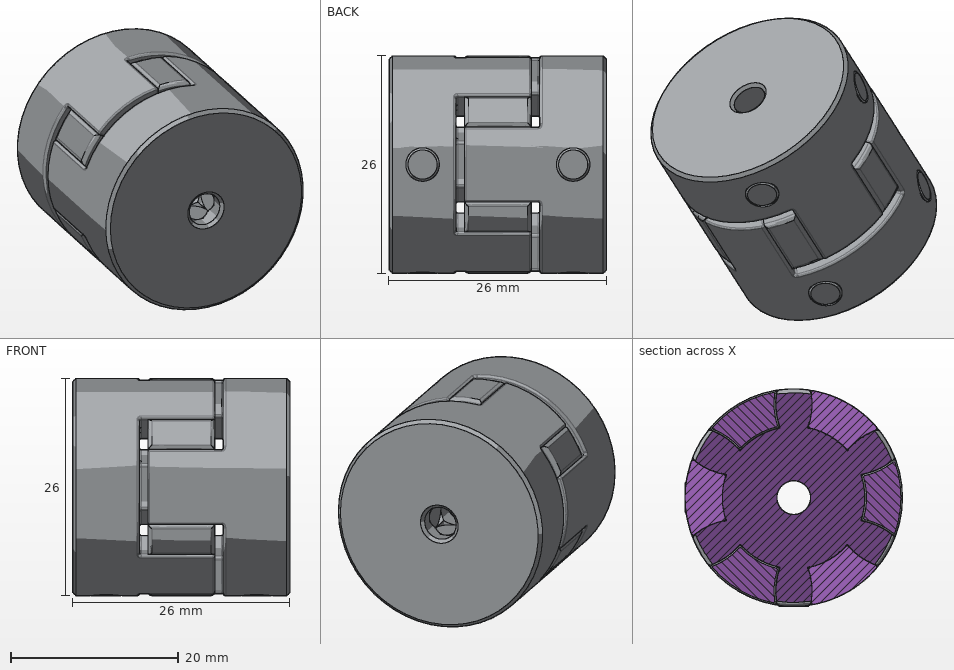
import cadquery as cq
import math


diameter = 26.0
length = 26.0
outer_radius = diameter / 2
half_length = length / 2

hub_length = 8.0
bore_diameter = 4.0
rim_chamfer = 0.42
bore_chamfer = 0.4
jaw_count = 3
jaw_pitch = 360 / jaw_count
jaw_inner_radius = 8.5
jaw_inner_fillet = 0.35
jaw_tip_fillet = 0.2
jaw_root_fillet = 0.2
hub_edge_fillet = 0.3
floor_offset = half_length - hub_length

spider_width = 8.0
spider_half_width = spider_width / 2
leg_count = 2 * jaw_count
leg_pitch = 360 / leg_count
leg_outer_radius = outer_radius
leg_half_width = 2.15
leg_crown_radius = 11.2
leg_flank_radius = 8.32
leg_fillet = 0.5

screw_diameter = 4.0
screw_chamfer = 0.25
screw_radius = screw_diameter / 2
screw_offset = half_length - hub_length / 2
screw_inner_radius = bore_diameter / 2
screw_directions = [(0, 1, 0), (0, 0, -1)]

tolerance = 0.03
overrun = 0.52

MIDDLE = cq.Plane(origin=(0, 0, 0), xDir=(0, 1, 0), normal=(1, 0, 0))


def leg_flank_point(radius):
    """Along and across a leg's axis, the flank point at this distance from the coupling axis."""
    centre_across = leg_half_width - leg_flank_radius
    centre_distance = math.hypot(leg_crown_radius, centre_across)
    centre_angle = math.atan2(centre_across, leg_crown_radius)
    cosine = (radius**2 + centre_distance**2 - leg_flank_radius**2) / (2 * radius * centre_distance)
    angle = centre_angle + math.acos(cosine)
    return radius * math.cos(angle), radius * math.sin(angle)


def mirrored(point):
    return point[0], -point[1]


def jaw_flank_point(leg_point):
    """A flank point of the next leg, seen along and across the neighbouring jaw's axis."""
    angle = math.radians(leg_pitch / 2)
    along, across = leg_point
    return (
        along * math.cos(angle) + across * math.sin(angle),
        along * math.sin(angle) - across * math.cos(angle),
    )


def around_axis(body, count):
    """Copies of a body, evenly turned about the X axis."""
    return [body.rotate((0, 0, 0), (1, 0, 0), i * 360 / count) for i in range(count)]


def make_jaw():
    """The jaw of the left hub that points along +Y, reaching past the outer radius."""
    inner = jaw_flank_point(leg_flank_point(jaw_inner_radius))
    crown = jaw_flank_point((leg_crown_radius, leg_half_width))
    outer = jaw_flank_point(leg_flank_point(outer_radius + overrun))
    jaw = (
        cq.Workplane(MIDDLE)
        .workplane(offset=-floor_offset)
        .moveTo(*inner)
        .threePointArc(crown, outer)
        .threePointArc((outer_radius + overrun, 0), mirrored(outer))
        .threePointArc(mirrored(crown), mirrored(inner))
        .threePointArc((jaw_inner_radius, 0), inner)
        .close()
        .extrude(floor_offset + spider_half_width)
    )
    inner_corners = cq.selectors.BoxSelector(
        (-half_length, 0, -outer_radius),
        (half_length, jaw_inner_radius, outer_radius),
    )
    return jaw.edges("|X").edges(inner_corners).fillet(jaw_inner_fillet)


def make_hub_blank():
    """The left hub without its bore and screw holes."""
    gap = (
        cq.Workplane(MIDDLE)
        .workplane(offset=-floor_offset)
        .circle(outer_radius + overrun)
        .extrude(floor_offset + spider_half_width)
    )
    for jaw in around_axis(make_jaw(), jaw_count):
        gap = gap.cut(jaw)
    barrel = (
        cq.Workplane(MIDDLE)
        .workplane(offset=-half_length)
        .circle(outer_radius)
        .extrude(half_length + spider_half_width)
        .faces("<X")
        .edges()
        .chamfer(rim_chamfer)
    )
    return barrel.cut(gap)


def on_jaw_edge_outside(edge):
    """Whether an edge of the hub blank lies on the outer cylinder and borders the gap."""
    middle = edge.positionAt(0.5)
    is_outside = math.hypot(middle.y, middle.z) > outer_radius - tolerance
    box = edge.BoundingBox()
    return is_outside and box.xmin > -floor_offset - tolerance and middle.x < spider_half_width - tolerance


def on_jaw_root(edge):
    """Whether an edge of the hub blank lies where a jaw meets the jaw floor."""
    middle = edge.positionAt(0.5)
    is_inside = math.hypot(middle.y, middle.z) < outer_radius - tolerance
    box = edge.BoundingBox()
    on_floor = abs(box.xmin + floor_offset) < tolerance and abs(box.xmax + floor_offset) < tolerance
    return is_inside and on_floor


def make_screw_holes(side):
    """Radial holes of one hub; side is -1 for the left hub and 1 for the right one."""
    return [
        cq.Workplane(cq.Solid.makeCylinder(
            screw_radius, outer_radius + overrun, cq.Vector(side * screw_offset, 0, 0), cq.Vector(*direction)
        ))
        for direction in screw_directions
    ]


def make_hub(side):
    """One hub; side is -1 for the left hub and 1 for the right one, turned half a turn about Z."""
    hub = make_hub_blank()
    hub = hub.edges().filter(on_jaw_root).fillet(jaw_root_fillet)
    hub = hub.edges().filter(on_jaw_edge_outside).fillet(hub_edge_fillet)
    hub = hub.faces(">X").edges().fillet(jaw_tip_fillet)
    hub = hub.faces("<X").workplane(origin=(0, 0, 0)).hole(bore_diameter)
    hub = hub.faces("<X").edges("%CIRCLE").edges(cq.selectors.RadiusNthSelector(0)).chamfer(bore_chamfer)
    if side > 0:
        hub = hub.rotate((0, 0, 0), (0, 0, 1), 180)
    for hole in make_screw_holes(side):
        hub = hub.cut(hole)
    return hub


def make_leg():
    """The spider leg that points along +Y, its outer rim rounded."""
    root = leg_flank_point(jaw_inner_radius)
    crown = (leg_crown_radius, leg_half_width)
    outer = leg_flank_point(leg_outer_radius)
    leg = (
        cq.Workplane(MIDDLE)
        .moveTo(0, 0)
        .lineTo(*root)
        .threePointArc(crown, outer)
        .threePointArc((leg_outer_radius, 0), mirrored(outer))
        .threePointArc(mirrored(crown), mirrored(root))
        .close()
        .extrude(spider_half_width, both=True)
    )
    return leg.faces(">Y").edges().fillet(leg_fillet)


def make_spider():
    """A round core with the legs around it, midway between neighbouring jaws."""
    spider = (
        cq.Workplane(MIDDLE)
        .circle(jaw_inner_radius)
        .extrude(spider_half_width, both=True)
    )
    for leg in around_axis(make_leg().rotate((0, 0, 0), (1, 0, 0), leg_pitch / 2), leg_count):
        spider = spider.union(leg)
    return spider.faces("<X").workplane(origin=(0, 0, 0)).hole(bore_diameter)


def make_screw(side, direction):
    """A set screw, flush with the outside of its hub and ending at the bore."""
    seat = cq.Plane(
        origin=tuple(side * screw_offset * x + screw_inner_radius * d for x, d in zip((1, 0, 0), direction)),
        normal=direction,
    )
    return (
        cq.Workplane(seat)
        .circle(screw_radius)
        .extrude(outer_radius - screw_inner_radius)
        .faces(cq.selectors.DirectionMinMaxSelector(cq.Vector(*direction)))
        .edges()
        .chamfer(screw_chamfer)
    )


sides = (-1, 1)
hubs = [make_hub(side) for side in sides]
spider = make_spider()
screws = [make_screw(side, direction) for side in sides for direction in screw_directions]
result = cq.Compound.makeCompound(
    [*(hub.val() for hub in hubs), spider.val(), *(screw.val() for screw in screws)]
)